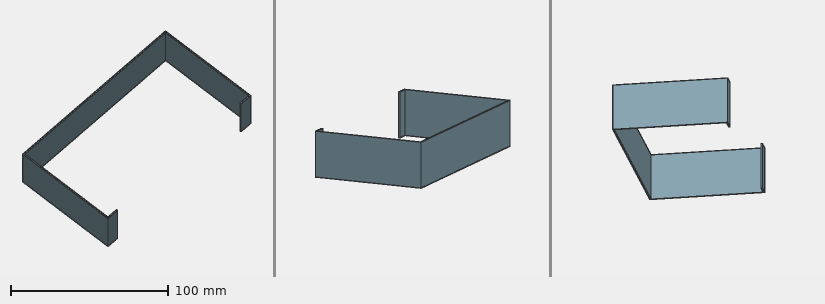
import cadquery as cq

depth = 74.3
width = 132.6
height = 30.0
thickness = 1.0
lip_length = 9.0

inner_depth = depth - 2 * thickness
inner_width = width - 2 * thickness
opening_width = width - 2 * lip_length


def centred_block(x_size, y_size):
    """Full-height block centred on the origin."""
    return cq.Workplane("XY").box(x_size, y_size, height)


tube = centred_block(depth, width).cut(centred_block(inner_depth, inner_width))

opening = centred_block(depth, opening_width).translate((depth / 2, 0, 0))

result = tube.cut(opening)